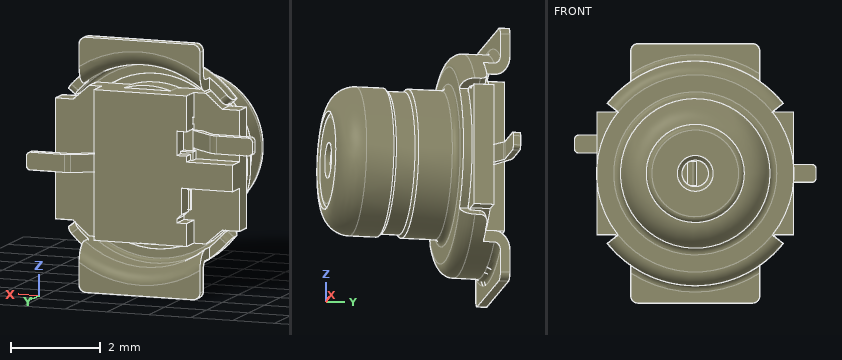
import cadquery as cq
import math


height = 5.8
pin_span = 5.4
total_depth = 3.9

sheet = 0.21
flange_thickness = 0.22
flange_width = 2.89
flange_corner = 0.17
flange_bend = 0.14
skirt_radius = 2.51
skirt_bend = 0.31
ear_depth = 0.605
ear_end_angle = 38.5
ear_corner = 0.175
face_depth = 1.205
disc_depth = 1.01
disc_radius = skirt_radius - skirt_bend

barrel_radius = 1.67
root_fillet = 0.15
nose_round = 0.59
groove_radius = 1.6
groove_start = 2.12
groove_end = 2.685
groove_chamfer = barrel_radius - groove_radius

insulator_radius = 1.095
insulator_edge = 0.13
insulator_recess = 0.04
bore_radius = 0.295
bore_chamfer = 0.105
spring_width = 0.535
spring_height = 0.115
spring_left = -0.175
spring_right = 0.03
spring_round = 0.08

base_back = 0.06
plate_back = 0.515
plate_front = 0.96
plate_half_width = 2.2
plate_half_height = 1.375
plate_shoulder = 1.78
plate_top_half_width = 1.39
body_half_width = 1.1
body_half_height = 1.71
spacer_radius = 1.8
key_bottom = -0.395
key_top = 0.21
pocket_depth = 0.23
pin_pocket_top = 0.895
pocket_front = 0.475
low_pocket_bottom = -1.19
ledge_top = 0.34
ledge_front = 0.31
foot_top = 0.395
foot_overhang = 0.06
notch_bottom = 1.0
notch_top = 1.15
notch_depth = 0.06
tongue_bottom = -0.95
tongue_top = -0.5
tongue_inset = 0.06
pad_bottom_inner = -0.99
pad_bottom_outer = -1.1
pad_inset = 0.115

pin_width = 0.405
pin_thickness = 0.17
pin_inner_end = 1.075
pin_corner = 0.1
pin_bend_radius = 0.29
left_pin_z = 0.655
left_pin_flat_end = 1.74
left_pin_slope = 37.0
right_pin_z = 0.0
right_pin_flat_end = 1.715
right_pin_slope = 28.0


def block(x_range, depth_range, z_range):
    """Box given by its x, depth and z limits."""
    size = [limits[1] - limits[0] for limits in (x_range, depth_range, z_range)]
    return cq.Workplane("XY").box(*size, centered=False).translate(
        (x_range[0], -depth_range[1], z_range[0])
    )


def prism(outline, depth_range):
    """Extrude an XZ outline between two depths."""
    back, front = depth_range
    return cq.Workplane("XZ", origin=(0, -back, 0)).polyline(outline).close().extrude(front - back)


def cylinder(radius, depth_range):
    back, front = depth_range
    return cq.Workplane("XZ", origin=(0, -back, 0)).circle(radius).extrude(front - back)


def spin(profile):
    """Revolve a closed (radius, -depth) profile about the barrel axis."""
    return profile.close().revolve(360, (0, 0, 0), (0, 1, 0))


def bend_middle(center, radius, angle):
    """Point at an angle in degrees on a bend arc."""
    turn = math.radians(angle)
    return (center[0] + radius * math.cos(turn), center[1] + radius * math.sin(turn))


def make_barrel():
    root_center = (barrel_radius + root_fillet, -face_depth - root_fillet)
    nose_center = (barrel_radius - nose_round, -total_depth + nose_round)
    profile = (
        cq.Workplane("XY")
        .moveTo(0, -disc_depth)
        .lineTo(disc_radius, -disc_depth)
        .lineTo(disc_radius, -face_depth)
        .lineTo(root_center[0], -face_depth)
        .threePointArc(bend_middle(root_center, root_fillet, 135), (barrel_radius, root_center[1]))
        .lineTo(barrel_radius, -groove_start)
        .lineTo(groove_radius, -groove_start - groove_chamfer)
        .lineTo(groove_radius, -groove_end + groove_chamfer)
        .lineTo(barrel_radius, -groove_end)
        .lineTo(barrel_radius, nose_center[1])
        .threePointArc(bend_middle(nose_center, nose_round, -45), (nose_center[0], -total_depth))
        .lineTo(0, -total_depth)
    )
    return spin(profile)


def make_nose_recess():
    """Shallow recess with the rounded rim of the insulator face."""
    insulator_face = -total_depth + insulator_recess
    rim_center = (insulator_radius - insulator_edge, insulator_face + insulator_edge)
    profile = (
        cq.Workplane("XY")
        .moveTo(0, -total_depth)
        .lineTo(0, insulator_face)
        .lineTo(rim_center[0], insulator_face)
        .threePointArc(bend_middle(rim_center, insulator_edge, -45), (insulator_radius, rim_center[1]))
        .lineTo(insulator_radius, -total_depth)
    )
    return spin(profile)


def make_bore():
    """Contact bore with a chamfered mouth, down to the back of the shell disc."""
    mouth = -total_depth + insulator_recess
    profile = (
        cq.Workplane("XY")
        .moveTo(0, mouth)
        .lineTo(bore_radius + bore_chamfer, mouth)
        .lineTo(bore_radius, mouth + bore_chamfer)
        .lineTo(bore_radius, -disc_depth)
        .lineTo(0, -disc_depth)
    )
    return spin(profile)


def make_spring():
    """Contact strip on the bore floor, rounded along its right side."""
    strip = block(
        (spring_left, spring_right),
        (disc_depth - sheet, disc_depth + spring_height),
        (-spring_width / 2, spring_width / 2),
    )
    strip = strip.edges("|Z and >X and <Y").fillet(spring_round)
    return strip.intersect(cylinder(bore_radius, (0, total_depth)))


def make_ears():
    """Rolled rim of the shell, kept as an upper and a lower arc."""
    bend_center = (disc_radius, -face_depth + skirt_bend)
    inner_bend = skirt_bend - sheet
    profile = (
        cq.Workplane("XY")
        .moveTo(skirt_radius, -ear_depth)
        .lineTo(skirt_radius, bend_center[1])
        .threePointArc(bend_middle(bend_center, skirt_bend, -45), (disc_radius, -face_depth))
        .lineTo(disc_radius - sheet, -face_depth)
        .lineTo(disc_radius - sheet, -face_depth + sheet)
        .lineTo(disc_radius, -face_depth + sheet)
        .threePointArc(bend_middle(bend_center, inner_bend, -45), (skirt_radius - sheet, bend_center[1]))
        .lineTo(skirt_radius - sheet, -ear_depth)
    )
    rim = spin(profile)
    reach = height / 2
    rise = reach * math.tan(math.radians(ear_end_angle))
    ears = cq.Workplane("XY")
    for side in (1, -1):
        sector = [
            (0, 0),
            (reach, side * rise),
            (reach, side * height),
            (-reach, side * height),
            (-reach, side * rise),
        ]
        ear = rim.intersect(prism(sector, (0, total_depth)))
        ears = ears.add(ear.faces(">Y").edges("%LINE").fillet(ear_corner))
    return ears.combine()


def make_flanges():
    """Mounting flanges at top and bottom, bent out of the rolled rim."""
    inner_radius = skirt_radius - sheet
    outer_bend = flange_bend + sheet
    back_bend_center = (inner_radius + outer_bend, -outer_bend)
    front_bend_center = (skirt_radius + flange_bend, -flange_thickness - flange_bend)
    profile = (
        cq.Workplane("XY")
        .moveTo(height, 0)
        .lineTo(back_bend_center[0], 0)
        .threePointArc(bend_middle(back_bend_center, outer_bend, 135), (inner_radius, -outer_bend))
        .lineTo(inner_radius, -ear_depth - ear_corner)
        .lineTo(skirt_radius, -ear_depth - ear_corner)
        .lineTo(skirt_radius, front_bend_center[1])
        .threePointArc(
            bend_middle(front_bend_center, flange_bend, 135), (front_bend_center[0], -flange_thickness)
        )
        .lineTo(height, -flange_thickness)
    )
    limits = block(
        (-flange_width / 2, flange_width / 2), (0, total_depth), (-height / 2, height / 2)
    )
    return spin(profile).intersect(limits.edges("|Y").fillet(flange_corner))


def make_base():
    """Plastic base: front plate, back body, locating key and side pockets."""
    quarter = [
        (plate_half_width, plate_half_height),
        (plate_shoulder, plate_half_height),
        (plate_top_half_width, body_half_height),
    ]
    upper = quarter + [(-x, z) for x, z in reversed(quarter)]
    outline = upper + [(x, -z) for x, z in reversed(upper)]
    base = prism(outline, (plate_back, plate_front))
    base = base.union(cylinder(spacer_radius, (plate_back, disc_depth)))
    base = base.union(
        block(
            (-body_half_width, body_half_width),
            (base_back, plate_front),
            (-body_half_height, body_half_height),
        )
    )

    flank = -body_half_width
    pocket_floor = flank + pocket_depth
    base = base.cut(block((flank, pocket_floor), (base_back, pocket_front), (key_top, pin_pocket_top)))
    base = base.cut(block((flank, pocket_floor), (base_back, plate_back), (low_pocket_bottom, key_bottom)))
    base = base.cut(
        block((flank, flank + notch_depth), (pocket_front, plate_back), (notch_bottom, notch_top))
    )

    key = block((-plate_half_width, pocket_floor), (base_back, plate_back), (key_bottom, key_top))
    ledge = block((flank, pocket_floor), (base_back, ledge_front), (key_top, ledge_top))
    foot = block((flank - foot_overhang, pocket_floor), (ledge_front, plate_back), (key_top, foot_top))
    tongue = block(
        (flank + tongue_inset, pocket_floor), (pocket_front, plate_back), (tongue_bottom, tongue_top)
    )
    pad_face = flank + pad_inset
    pad_outline = [
        (pocket_floor, key_bottom),
        (pad_face, key_bottom),
        (pad_face, pad_bottom_inner),
        (pocket_floor, pad_bottom_outer),
    ]
    pad = prism(pad_outline, (base_back, pocket_front))
    for piece in (key, ledge, foot, tongue, pad):
        base = base.union(piece)
    return base


def make_pin(side, z_center, flat_end, slope_angle):
    """Flat solder pin with a ramp into the base; side is +1 or -1 along X."""
    tip = pin_span / 2
    slope = math.radians(slope_angle)
    ramp_drop = (flat_end - pin_inner_end) * math.tan(slope)
    ramp_height = pin_thickness / math.cos(slope)
    front_bend_x = flat_end - pin_thickness * math.tan(slope / 2)
    outline = [
        (side * tip, 0),
        (side * flat_end, 0),
        (side * pin_inner_end, -ramp_drop),
        (side * pin_inner_end, -ramp_drop - ramp_height),
        (side * front_bend_x, -pin_thickness),
        (side * tip, -pin_thickness),
    ]
    pin = (
        cq.Workplane("XY", origin=(0, 0, z_center - pin_width / 2))
        .polyline(outline)
        .close()
        .extrude(pin_width)
    )
    bends = (
        (flat_end, 0, pin_bend_radius),
        (front_bend_x, -pin_thickness, pin_bend_radius - pin_thickness),
    )
    for x, y, radius in bends:
        pin = pin.edges(cq.selectors.NearestToPointSelector((side * x, y, z_center))).fillet(radius)
    tip_face = ">X" if side > 0 else "<X"
    return pin.faces(tip_face).edges("|Y").fillet(pin_corner)


result = make_barrel().cut(make_nose_recess()).cut(make_bore())
for piece in (
    make_ears(),
    make_flanges(),
    make_base(),
    make_spring(),
    make_pin(-1, left_pin_z, left_pin_flat_end, left_pin_slope),
    make_pin(1, right_pin_z, right_pin_flat_end, right_pin_slope),
):
    result = result.union(piece)